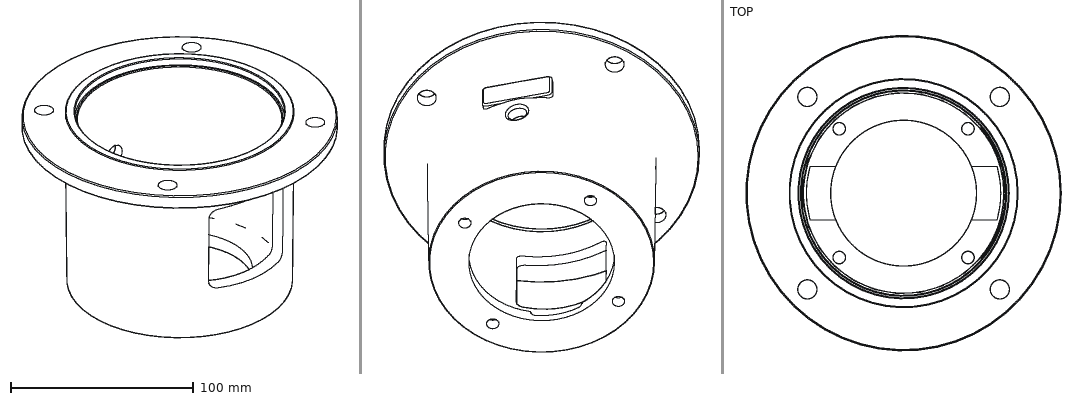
import cadquery as cq

overall_height = 108.0
flange_radius = 86.5
flange_thickness = 8.0
flange_edge_chamfer = 0.7
pilot_radius = 62.8
pilot_height = 3.1
pilot_edge_chamfer = 0.5
pilot_root_fillet = 0.5
flange_top = overall_height - pilot_height
flange_bottom = flange_top - flange_thickness

body_top_radius = 62.8
body_bottom_radius = 62.0
body_root_fillet = 1.5
body_bottom_chamfer = 0.5

counterbore_radius = 57.5
counterbore_depth = 4.3
counterbore_edge_chamfer = 0.5
chamber_top_radius = 56.0
chamber_bottom_radius = 54.8
chamber_edge_chamfer = 0.5
floor_thickness = 7.8
floor_fillet = 1.5
counterbore_floor = overall_height - counterbore_depth

shaft_bore_radius = 40.0
mount_hole_diameter = 6.7
mount_hole_offset = 35.3
flange_hole_diameter = 10.4
flange_hole_offset = 52.8

channel_bottom_width = 26.8
channel_top_width = 29.2
channel_depth = 3.1

window_width = 55.2
window_bottom = 29.4
window_top = 81.1
window_corner_radius = 5.9
window_draft = 10.0
window_cut_depth = 17.3

side_hole_diameter = 10.4
side_hole_countersink_diameter = 15.5
side_hole_countersink_depth = 1.5
side_hole_height = 55.7

pad_width = 39.1
pad_bottom = 67.1
pad_top = 83.9
pad_face_distance = 63.0
pad_root_distance = 58.8
pad_corner_radius = 2.5
pad_edge_chamfer = 1.0


def circle_at(solid, radius, height):
    """The circular edge of a turned solid with this radius and height."""
    tolerance = 0.002
    matches = [
        edge
        for edge in solid.edges("%CIRCLE").vals()
        if abs(edge.radius() - radius) < tolerance
        and abs(edge.Center().z - height) < tolerance
    ]
    return solid.newObject(matches)


def turned(points):
    """Solid of revolution about Z from (radius, height) points."""
    return cq.Workplane("XZ").polyline(points).close().revolve(360, (0, 0, 0), (0, 1, 0))


def outer_body():
    """Flange, pilot and tapered body, without any openings."""
    body = turned(
        [
            (0, 0),
            (body_bottom_radius, 0),
            (body_top_radius, flange_bottom),
            (flange_radius, flange_bottom),
            (flange_radius, flange_top),
            (pilot_radius, flange_top),
            (pilot_radius, overall_height),
            (0, overall_height),
        ]
    )
    body = circle_at(body, body_top_radius, flange_bottom).fillet(body_root_fillet)
    body = circle_at(body, pilot_radius, flange_top).fillet(pilot_root_fillet)
    body = circle_at(body, flange_radius, flange_bottom).chamfer(flange_edge_chamfer)
    body = circle_at(body, flange_radius, flange_top).chamfer(flange_edge_chamfer)
    body = circle_at(body, pilot_radius, overall_height).chamfer(pilot_edge_chamfer)
    return circle_at(body, body_bottom_radius, 0).chamfer(body_bottom_chamfer)


def cavity():
    """Counterbore and tapered chamber above the floor."""
    rim_radius = counterbore_radius + counterbore_edge_chamfer
    shoulder_radius = chamber_top_radius + chamber_edge_chamfer
    space = turned(
        [
            (0, floor_thickness),
            (chamber_bottom_radius, floor_thickness),
            (chamber_top_radius, counterbore_floor - chamber_edge_chamfer),
            (shoulder_radius, counterbore_floor),
            (counterbore_radius, counterbore_floor),
            (counterbore_radius, overall_height - counterbore_edge_chamfer),
            (rim_radius, overall_height),
            (0, overall_height),
        ]
    )
    return circle_at(space, chamber_bottom_radius, floor_thickness).fillet(floor_fillet)


def floor_channel():
    """Channel with sloped walls and rounded bottom corners, ending at the chamber wall."""
    half_bottom = channel_bottom_width / 2
    half_top = channel_top_width / 2
    channel_floor = floor_thickness - channel_depth
    end_radius = chamber_bottom_radius - floor_fillet
    section = [
        (-half_bottom, channel_floor),
        (half_bottom, channel_floor),
        (half_top, floor_thickness),
        (-half_top, floor_thickness),
    ]
    bar = cq.Workplane("YZ").polyline(section).close().extrude(end_radius, both=True)
    bar = bar.faces("<Z").edges("|X").fillet(floor_fillet)
    return bar.intersect(cq.Workplane("XY").circle(end_radius).extrude(floor_thickness))


def square_pattern_holes(diameter, offset, bottom, top):
    """Four vertical holes at the corners of a square about the axis."""
    spacing = 2 * offset
    return (
        cq.Workplane("XY", origin=(0, 0, bottom))
        .rarray(spacing, spacing, 2, 2)
        .circle(diameter / 2)
        .extrude(top - bottom)
    )


def access_window():
    """Rounded window in the +X wall, narrowing inwards."""
    middle_height = (window_bottom + window_top) / 2
    return (
        cq.Workplane("YZ", origin=(body_top_radius, 0, middle_height))
        .sketch()
        .rect(window_width, window_top - window_bottom)
        .vertices()
        .fillet(window_corner_radius)
        .finalize()
        .extrude(-window_cut_depth, taper=window_draft)
    )


def side_hole():
    """Radial hole in the -X wall with a countersink at its mouth."""
    mouth_radius = side_hole_countersink_diameter / 2
    hole_radius = side_hole_diameter / 2
    mouth = cq.Workplane("YZ", origin=(-body_top_radius, 0, side_hole_height))
    hole = mouth.circle(hole_radius).extrude(body_top_radius)
    sink = (
        mouth.circle(mouth_radius)
        .workplane(offset=side_hole_countersink_depth)
        .circle(hole_radius)
        .loft()
    )
    return hole.union(sink)


def name_plate_pad():
    """Flat rounded pad standing out of the -X wall."""
    return (
        cq.Workplane("YZ", origin=(-pad_root_distance, 0, (pad_bottom + pad_top) / 2))
        .rect(pad_width, pad_top - pad_bottom)
        .extrude(pad_root_distance - pad_face_distance)
        .edges("|X")
        .fillet(pad_corner_radius)
        .faces("<X")
        .chamfer(pad_edge_chamfer)
    )


result = (
    outer_body()
    .union(name_plate_pad())
    .cut(cavity())
    .cut(floor_channel())
    .cut(cq.Workplane("XY").circle(shaft_bore_radius).extrude(floor_thickness))
    .cut(square_pattern_holes(mount_hole_diameter, mount_hole_offset, 0, floor_thickness))
    .cut(square_pattern_holes(flange_hole_diameter, flange_hole_offset, flange_bottom, flange_top))
    .cut(access_window())
    .cut(side_hole())
)